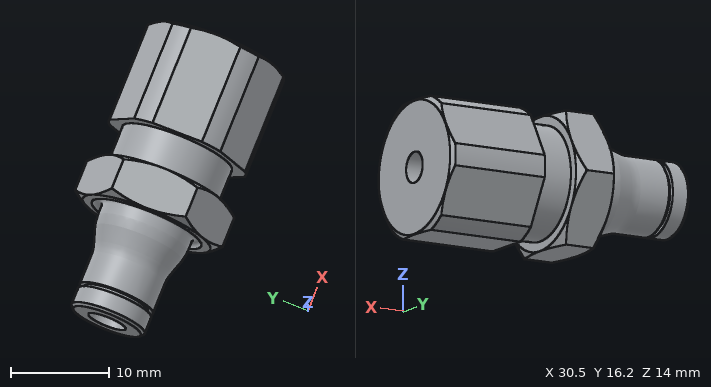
import cadquery as cq
import math

total_length = 30.5
across_flats = 14.0
flat_radius = across_flats / 2
corner_radius = flat_radius / math.cos(math.radians(30))
chamfer_slope = math.tan(math.radians(30))

tip_radius = 4.03
tip_chamfer = 0.3
groove_radius = 3.5
groove_start = 2.1
groove_end = 2.55
flare_start = 5.92
flare_cone_start = 7.0
flare_cone_end = 8.75
flare_end = 9.88
root_radius = 4.95

collar_start = 10.98
collar_end = 15.5
relief_outer_radius = 6.0
relief_middle_radius = (relief_outer_radius + root_radius) / 2
relief_depth = relief_outer_radius - relief_middle_radius

neck_radius = 6.0
neck_insertion = 6.1
body_bore_radius = 2.05

nut_start = 19.5
nut_corner_radius = 7.5
nut_end_radius = 6.95
nut_bore_radius = 1.62
neck_end = nut_start + neck_insertion


def hexagon(start, end):
    """Hexagonal bar along X with flats facing +Z and -Z."""
    return cq.Workplane("YZ", origin=(start, 0, 0)).polygon(6, 2 * corner_radius).extrude(end - start)


def revolve_about_x(profile):
    """Turn a closed (X, radius) profile about the X axis."""
    return profile.close().revolve(360, (0, 0, 0), (1, 0, 0))


def cylinder(start, end, radius):
    return cq.Workplane("YZ", origin=(start, 0, 0)).circle(radius).extrude(end - start)


def make_spigot():
    """Grooved spigot whose S-shaped flare ends at the collar."""
    flare_rise = root_radius - tip_radius
    blend_run = flare_cone_start - flare_start
    blend_out_run = flare_end - flare_cone_end
    flare_slope = flare_rise / (flare_cone_end - flare_cone_start + (blend_run + blend_out_run) / 2)
    cone_start_radius = tip_radius + flare_slope * blend_run / 2
    cone_end_radius = root_radius - flare_slope * blend_out_run / 2
    profile = (
        cq.Workplane("XY")
        .lineTo(0, tip_radius - tip_chamfer)
        .lineTo(tip_chamfer, tip_radius)
        .lineTo(groove_start, tip_radius)
        .lineTo(groove_start, groove_radius)
        .lineTo(groove_end, groove_radius)
        .lineTo(groove_end, tip_radius)
        .lineTo(flare_start, tip_radius)
        .tangentArcPoint((flare_cone_start, cone_start_radius), relative=False)
        .lineTo(flare_cone_end, cone_end_radius)
        .tangentArcPoint((flare_end, root_radius), relative=False)
        .lineTo(collar_start, root_radius)
        .lineTo(collar_start, 0)
    )
    return revolve_about_x(profile)


def make_collar():
    """Hexagon chamfered at both ends, with the half-round relief in its front face."""
    chamfer_length = (corner_radius - flat_radius) * chamfer_slope
    envelope = revolve_about_x(
        cq.Workplane("XY")
        .moveTo(collar_start, 0)
        .lineTo(collar_start, flat_radius)
        .lineTo(collar_start + chamfer_length, corner_radius)
        .lineTo(collar_end - chamfer_length, corner_radius)
        .lineTo(collar_end, flat_radius)
        .lineTo(collar_end, 0)
    )
    relief = revolve_about_x(
        cq.Workplane("XY")
        .moveTo(collar_start, relief_outer_radius)
        .threePointArc((collar_start + relief_depth, relief_middle_radius), (collar_start, root_radius))
    )
    return hexagon(collar_start, collar_end).intersect(envelope).cut(relief)


def make_body():
    neck = cylinder(collar_end, neck_end, neck_radius)
    bore = cylinder(0, neck_end, body_bore_radius)
    return make_collar().union(make_spigot()).union(neck).cut(bore)


def make_union_nut():
    """Hexagon nut with rounded corners, bored out to take the neck."""
    chamfer_length = (nut_corner_radius - nut_end_radius) * chamfer_slope
    envelope = revolve_about_x(
        cq.Workplane("XY")
        .moveTo(nut_start, 0)
        .lineTo(nut_start, nut_corner_radius)
        .lineTo(total_length - chamfer_length, nut_corner_radius)
        .lineTo(total_length, nut_end_radius)
        .lineTo(total_length, 0)
    )
    neck_socket = cylinder(nut_start, neck_end, neck_radius)
    bore = cylinder(neck_end, total_length, nut_bore_radius)
    return hexagon(nut_start, total_length).intersect(envelope).cut(neck_socket).cut(bore)


body = make_body()
union_nut = make_union_nut()
result = cq.Compound.makeCompound([body.val(), union_nut.val()])